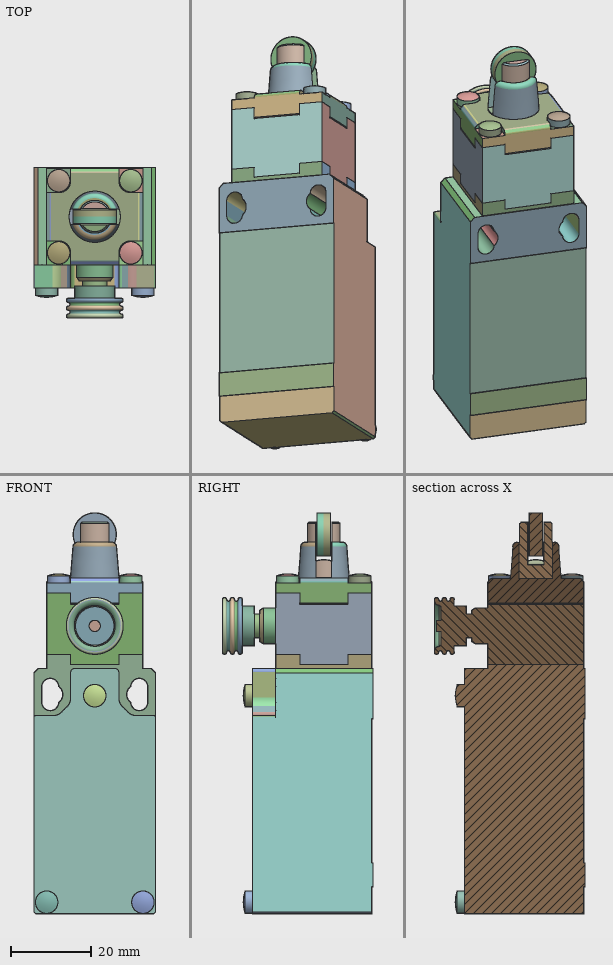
import cadquery as cq
import math


TOTAL_HEIGHT = 99.7
CUT_MARGIN = 1.0

HEAD_SIZE = 23.9
KEY_WIDTH = HEAD_SIZE / 2
KEY_DEPTH = 2.5
CAP_KEY_CLEARANCE = 0.3
HEAD_BOTTOM = 64.5
CAP_BOTTOM = 79.8
CAP_SHELF = 82.3
CAP_TOP = 83.4
CAP_CHAMFER = 0.9
CAP_BLEND_RADIUS = 0.6

BASE_WIDTH = 30.3
BASE_FRONT = -17.7
BASE_BACK = HEAD_SIZE / 2
SHOULDER_Z = 61.0
SHOULDER_CHAMFER = 1.1
BOTTOM_CHAMFER = 0.5
PAD_THICKNESS = 0.3
UPPER_PAD_BOTTOM = 48.5
LOWER_PAD_BOTTOM = 6.7
LOWER_PAD_HEIGHT = 6.0

TONGUE_WIDTH = KEY_WIDTH
TONGUE_FILLET = 1.0
RECESS_BOTTOM = 49.3
RECESS_CHAMFER = 3.2
RECESS_RADIUS = 3.0
RECESS_EDGE_FILLET = 0.4
SLOT_X = 11.1
SLOT_Z = 54.5
SLOT_WIDTH = 4.2
SLOT_HEIGHT = 8.0
NOTCH_RADIUS = 2.5
NOTCH_OFFSET = 0.6

SCREW_RADIUS = 2.8
SCREW_RIM = 1.8
SCREW_DOME = 0.5
CAP_SCREW_OFFSET = 9.0
COVER_SCREW_X = 12.0
COVER_SCREW_LOW_Z = 2.9
COVER_SCREW_HIGH_Z = 54.2

SLEEVE_BASE_RADIUS = 6.4
SLEEVE_TOP_RADIUS = 5.7
SLEEVE_TOP = 92.4
SLEEVE_FILLET = 1.2
SLEEVE_SLOT = 3.9
SLEEVE_SLOT_FLOOR = 0.2
PLUNGER_RADIUS = 4.1
PLUNGER_TOP = 97.4
PLUNGER_CHAMFER = 0.4
PLUNGER_SLOT = 4.0
ROLLER_RADIUS = 5.4
ROLLER_WIDTH = 3.4
ROLLER_Z = TOTAL_HEIGHT - ROLLER_RADIUS
ROLLER_POCKET_RADIUS = 7.5

KNOB_Z = 71.6
KNOB_END = 13.3
STUB_RADIUS = 4.5
STUB_LENGTH = 4.0
STUB_BEVEL_LENGTH = 0.9
STUB_BEVEL_DEPTH = 0.6
NECK_RADIUS = 3.0
COLLAR_START = 5.3
COLLAR_RADIUS = 5.0
GRIP_START = 8.3
GROOVE_RADIUS = 6.2
RIB_RADIUS = 7.1
RIB_WIDTH = 1.1
RIB_COUNT = 3
DISH_RIM_RADIUS = 6.4
DISH_WALL_RADIUS = 5.1
DISH_FLOOR_RADIUS = 4.8
DISH_ROUNDING = 1.2
DISH_DEPTH = 1.6
BOSS_RADIUS = 1.4
BOSS_HEIGHT = 1.1


def box(x0, x1, y0, y1, z0, z1):
    """Box between two opposite corners."""
    return cq.Workplane("XY").box(x1 - x0, y1 - y0, z1 - z0, centered=False).translate((x0, y0, z0))


def square_block(size, z0, z1):
    return box(-size / 2, size / 2, -size / 2, size / 2, z0, z1)


def key_cross(z0, z1):
    """Cross of two bars, each running right across the head."""
    half, arm = HEAD_SIZE / 2, KEY_WIDTH / 2
    return box(-half, half, -arm, arm, z0, z1).union(box(-arm, arm, -half, half, z0, z1))


def screw_head():
    """Domed screw head standing on the XY plane."""
    top = SCREW_RIM + SCREW_DOME
    sphere = (SCREW_RADIUS**2 + SCREW_DOME**2) / (2 * SCREW_DOME)
    mid_radius = SCREW_RADIUS / 2
    mid_height = top - sphere + math.sqrt(sphere**2 - mid_radius**2)
    return (
        cq.Workplane("XZ")
        .lineTo(SCREW_RADIUS, 0)
        .lineTo(SCREW_RADIUS, SCREW_RIM)
        .threePointArc((mid_radius, mid_height), (0, top))
        .close()
        .revolve(360, (0, 0), (0, 1))
    )


def front_recess():
    """Recess right of the tongue with its inner lower corner cut off and blended."""
    inner, outer = TONGUE_WIDTH / 2, BASE_WIDTH / 2 + CUT_MARGIN
    y_front = BASE_FRONT - CUT_MARGIN
    z_top = SHOULDER_Z + CUT_MARGIN
    recess = box(inner, outer, y_front, -HEAD_SIZE / 2, RECESS_BOTTOM, z_top)
    recess = recess.edges("|Y and <X and <Z").chamfer(RECESS_CHAMFER)
    chamfer_ends = cq.selectors.BoxSelector(
        (inner - CUT_MARGIN, 2 * BASE_FRONT, RECESS_BOTTOM - CUT_MARGIN),
        (outer - CUT_MARGIN, 0, SHOULDER_Z),
    )
    return recess.edges("|Y").edges(chamfer_ends).fillet(RECESS_RADIUS)


def mounting_slot():
    """Upright slot through the right ear, with a round notch toward the middle."""
    half_depth = HEAD_SIZE
    slot = (
        cq.Workplane("XZ", origin=(SLOT_X, 0, SLOT_Z))
        .slot2D(SLOT_HEIGHT, SLOT_WIDTH, 90)
        .extrude(half_depth, both=True)
    )
    notch = (
        cq.Workplane("XZ", origin=(SLOT_X - NOTCH_OFFSET, 0, SLOT_Z))
        .circle(NOTCH_RADIUS)
        .extrude(half_depth, both=True)
    )
    return slot.union(notch)


def make_base():
    half = BASE_WIDTH / 2
    base = box(-half, half, BASE_FRONT, BASE_BACK, 0, SHOULDER_Z)
    pad_back = BASE_BACK + PAD_THICKNESS
    base = base.union(box(-half, half, BASE_BACK, pad_back, UPPER_PAD_BOTTOM, SHOULDER_Z))
    base = base.edges("|Y and >Z and (>X or <X)").chamfer(SHOULDER_CHAMFER)
    base = base.edges("|Y and <Z").chamfer(BOTTOM_CHAMFER)
    lower_pad_top = LOWER_PAD_BOTTOM + LOWER_PAD_HEIGHT
    base = base.union(box(-half, half, BASE_BACK, pad_back, LOWER_PAD_BOTTOM, lower_pad_top))

    for cutter in (front_recess(), mounting_slot()):
        base = base.cut(cutter).cut(cutter.mirror("YZ"))
    half_floor = BASE_WIDTH / 2 + CUT_MARGIN
    floor_level = cq.selectors.BoxSelector(
        (-half_floor, BASE_FRONT - CUT_MARGIN, RECESS_BOTTOM - CUT_MARGIN / 2),
        (half_floor, -HEAD_SIZE / 2, RECESS_BOTTOM + CUT_MARGIN / 2),
    )
    base = base.edges("|Y").edges(floor_level).edges("<X or >X").fillet(RECESS_EDGE_FILLET)
    front_top = cq.selectors.BoxSelector(
        (-TONGUE_WIDTH, BASE_FRONT - CUT_MARGIN, SHOULDER_Z - CUT_MARGIN),
        (TONGUE_WIDTH, -HEAD_SIZE / 2, SHOULDER_Z + CUT_MARGIN),
    )
    base = base.edges("|Y").edges(front_top).fillet(TONGUE_FILLET)

    base = base.union(square_block(HEAD_SIZE, SHOULDER_Z - CUT_MARGIN, HEAD_BOTTOM))
    base = base.cut(key_cross(HEAD_BOTTOM - KEY_DEPTH, HEAD_BOTTOM))

    cover_screw = screw_head().rotate((0, 0, 0), (1, 0, 0), 90)
    for x, z in (
        (-COVER_SCREW_X, COVER_SCREW_LOW_Z),
        (COVER_SCREW_X, COVER_SCREW_LOW_Z),
        (0, COVER_SCREW_HIGH_Z),
    ):
        base = base.union(cover_screw.translate((x, BASE_FRONT, z)))
    return base


def reset_knob():
    """Turned stub, neck, ribbed grip and dished end, along the knob axis."""
    profile = (
        cq.Workplane("XY")
        .lineTo(STUB_RADIUS, 0)
        .lineTo(STUB_RADIUS, STUB_LENGTH - STUB_BEVEL_LENGTH)
        .lineTo(STUB_RADIUS - STUB_BEVEL_DEPTH, STUB_LENGTH)
        .lineTo(NECK_RADIUS, STUB_LENGTH)
        .lineTo(NECK_RADIUS, COLLAR_START)
        .lineTo(COLLAR_RADIUS, COLLAR_START)
        .lineTo(COLLAR_RADIUS, GRIP_START)
    )
    rib_pitch = (KNOB_END - GRIP_START - RIB_WIDTH) / (RIB_COUNT - 1)
    flank = RIB_RADIUS - RIB_WIDTH / 2
    profile = profile.lineTo(flank, GRIP_START)
    for i in range(RIB_COUNT):
        start = GRIP_START + i * rib_pitch
        end = start + RIB_WIDTH
        profile = profile.threePointArc((RIB_RADIUS, start + RIB_WIDTH / 2), (flank, end))
        if i < RIB_COUNT - 1:
            next_start = start + rib_pitch
            profile = profile.threePointArc((GROOVE_RADIUS, (end + next_start) / 2), (flank, next_start))
    dish_floor = KNOB_END - DISH_DEPTH
    diagonal = math.sqrt(0.5)
    rim_mid = (
        DISH_WALL_RADIUS + (DISH_RIM_RADIUS - DISH_WALL_RADIUS) * (1 - diagonal),
        KNOB_END - DISH_ROUNDING * (1 - diagonal),
    )
    profile = (
        profile.lineTo(DISH_RIM_RADIUS, KNOB_END)
        .threePointArc(rim_mid, (DISH_WALL_RADIUS, KNOB_END - DISH_ROUNDING))
        .lineTo(DISH_FLOOR_RADIUS, dish_floor)
        .lineTo(BOSS_RADIUS, dish_floor)
        .lineTo(BOSS_RADIUS, dish_floor + BOSS_HEIGHT)
        .lineTo(0, dish_floor + BOSS_HEIGHT)
        .close()
    )
    knob = profile.revolve(360, (0, 0), (0, 1))
    return knob.rotate((0, 0, 0), (1, 0, 0), 180).translate((0, -HEAD_SIZE / 2, KNOB_Z))


def make_head():
    head = square_block(HEAD_SIZE, HEAD_BOTTOM, CAP_BOTTOM)
    head = head.union(key_cross(HEAD_BOTTOM - KEY_DEPTH, HEAD_BOTTOM))
    head = head.cut(key_cross(CAP_BOTTOM - KEY_DEPTH - CAP_KEY_CLEARANCE, CAP_BOTTOM))
    return head.union(reset_knob())


def sleeve():
    """Tapered, slotted sleeve with a bore for the plunger."""
    height = SLEEVE_TOP - CAP_TOP
    cone = (
        cq.Workplane("XZ", origin=(0, 0, CAP_TOP))
        .lineTo(SLEEVE_BASE_RADIUS, 0)
        .lineTo(SLEEVE_TOP_RADIUS, height)
        .lineTo(0, height)
        .close()
        .revolve(360, (0, 0), (0, 1))
        .faces(">Z")
        .edges()
        .fillet(SLEEVE_FILLET)
    )
    bore = cq.Workplane("XY", origin=(0, 0, CAP_TOP)).circle(PLUNGER_RADIUS).extrude(height)
    reach = SLEEVE_BASE_RADIUS + CUT_MARGIN
    slot = box(-reach, reach, -SLEEVE_SLOT / 2, SLEEVE_SLOT / 2, CAP_TOP + SLEEVE_SLOT_FLOOR, SLEEVE_TOP)
    return cone.cut(bore).cut(slot)


def corner_clearance():
    """Space above one corner shelf, rounded where it passes behind the screw."""
    inner, outer = KEY_WIDTH / 2, HEAD_SIZE / 2 + CUT_MARGIN
    space = box(inner, outer, inner, outer, CAP_SHELF, CAP_TOP + CUT_MARGIN)
    return space.edges("|Z and <X and <Y").fillet(CAP_SCREW_OFFSET - inner)


def make_cap():
    """Top plate with four screws on its corner shelves, and the sleeve."""
    cap = square_block(HEAD_SIZE, CAP_BOTTOM, CAP_TOP).faces(">Z").edges().chamfer(CAP_CHAMFER)
    cap = cap.edges("#Z and (not <Z)").fillet(CAP_BLEND_RADIUS)
    cap = cap.union(key_cross(CAP_BOTTOM - KEY_DEPTH, CAP_BOTTOM))
    screw = screw_head().translate((CAP_SCREW_OFFSET, CAP_SCREW_OFFSET, CAP_SHELF))
    clearance = corner_clearance()
    for corner in range(4):
        turn = ((0, 0, 0), (0, 0, 1), 90 * corner)
        cap = cap.cut(clearance.rotate(*turn)).union(screw.rotate(*turn))
    return cap.union(sleeve())


def make_plunger():
    """Round plunger in the sleeve, forked at the top around the roller."""
    plunger = (
        cq.Workplane("XY", origin=(0, 0, CAP_TOP))
        .circle(PLUNGER_RADIUS)
        .extrude(PLUNGER_TOP - CAP_TOP)
        .faces(">Z")
        .edges()
        .chamfer(PLUNGER_CHAMFER)
    )
    pocket = (
        cq.Workplane("XZ", origin=(0, 0, ROLLER_Z))
        .circle(ROLLER_POCKET_RADIUS)
        .extrude(PLUNGER_SLOT / 2, both=True)
    )
    return plunger.cut(pocket)


def make_roller():
    return (
        cq.Workplane("XZ", origin=(0, 0, ROLLER_Z))
        .circle(ROLLER_RADIUS)
        .extrude(ROLLER_WIDTH / 2, both=True)
    )


base = make_base()
head = make_head()
cap = make_cap()
plunger = make_plunger()
roller = make_roller()

result = cq.Compound.makeCompound([base.val(), head.val(), cap.val(), plunger.val(), roller.val()])